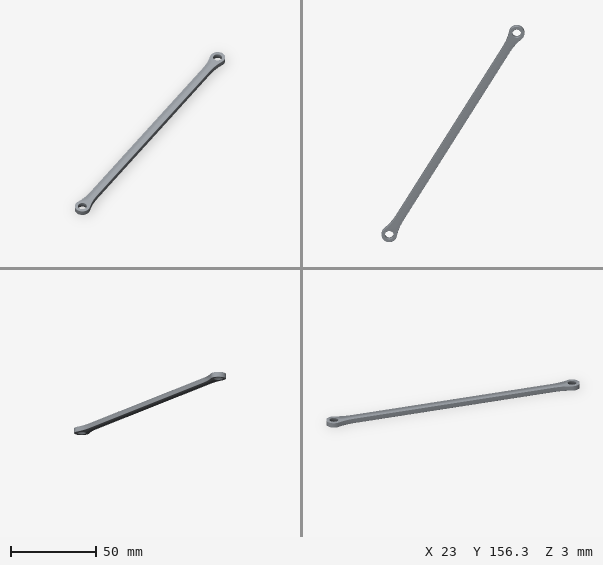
import cadquery as cq
import math

THICKNESS = 3.0
EYE_SPACING = 148.0
EYE_OFFSET_X = 14.04
EYE_DIAMETER = 9.0
HOLE_DIAMETER = 5.1
BAR_WIDTH = 5.0
NECK_RADIUS = 30.0
EDGE_ROUND = 0.15

EYE_RADIUS = EYE_DIAMETER / 2
BAR_HALF_WIDTH = BAR_WIDTH / 2
EYE_POSITION = EYE_SPACING / 2
TILT_DEGREES = math.degrees(math.asin(EYE_OFFSET_X / EYE_SPACING))

NECK_CENTRE_X = BAR_HALF_WIDTH + NECK_RADIUS
CENTRE_DISTANCE = EYE_RADIUS + NECK_RADIUS
NECK_LENGTH = math.sqrt(CENTRE_DISTANCE**2 - NECK_CENTRE_X**2)
NECK_CENTRE_Y = EYE_POSITION - NECK_LENGTH

EYE_TANGENT_X = NECK_CENTRE_X * EYE_RADIUS / CENTRE_DISTANCE
EYE_TANGENT_Y = EYE_POSITION - NECK_LENGTH * EYE_RADIUS / CENTRE_DISTANCE

NECK_HALF_ANGLE = math.asin(NECK_LENGTH / CENTRE_DISTANCE) / 2
NECK_MIDDLE_X = NECK_CENTRE_X - NECK_RADIUS * math.cos(NECK_HALF_ANGLE)
NECK_MIDDLE_Y = NECK_CENTRE_Y + NECK_RADIUS * math.sin(NECK_HALF_ANGLE)


def link_body():
    """Flat bar along Y that widens through tangent necks into a round eye at each end."""
    eye_tip = EYE_POSITION + EYE_RADIUS
    outline = (
        cq.Workplane("XY")
        .moveTo(BAR_HALF_WIDTH, -NECK_CENTRE_Y)
        .lineTo(BAR_HALF_WIDTH, NECK_CENTRE_Y)
        .threePointArc((NECK_MIDDLE_X, NECK_MIDDLE_Y), (EYE_TANGENT_X, EYE_TANGENT_Y))
        .threePointArc((0, eye_tip), (-EYE_TANGENT_X, EYE_TANGENT_Y))
        .threePointArc((-NECK_MIDDLE_X, NECK_MIDDLE_Y), (-BAR_HALF_WIDTH, NECK_CENTRE_Y))
        .lineTo(-BAR_HALF_WIDTH, -NECK_CENTRE_Y)
        .threePointArc((-NECK_MIDDLE_X, -NECK_MIDDLE_Y), (-EYE_TANGENT_X, -EYE_TANGENT_Y))
        .threePointArc((0, -eye_tip), (EYE_TANGENT_X, -EYE_TANGENT_Y))
        .threePointArc((NECK_MIDDLE_X, -NECK_MIDDLE_Y), (BAR_HALF_WIDTH, -NECK_CENTRE_Y))
        .close()
    )
    return outline.extrude(THICKNESS)


def eye_holes():
    """Through holes concentric with the two eyes."""
    centres = [(0, EYE_POSITION), (0, -EYE_POSITION)]
    return cq.Workplane("XY").pushPoints(centres).circle(HOLE_DIAMETER / 2).extrude(THICKNESS)


def round_face_edges(link):
    """Round the outline and hole edges of the top and bottom faces."""
    return link.faces("|Z").edges().fillet(EDGE_ROUND)


straight_link = round_face_edges(link_body().cut(eye_holes()))
result = straight_link.rotate((0, 0, 0), (0, 0, 1), TILT_DEGREES)